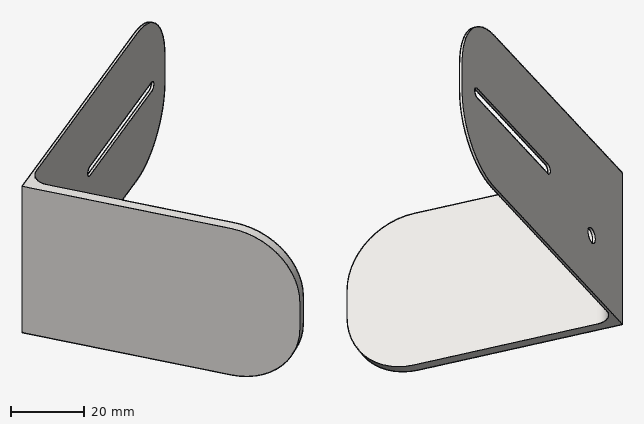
import cadquery as cq
import math

plate_thickness = 0.8
plate_length = 100.0
height = 48.75

arm_length = 80.0
arm_thickness = 3.0
arm_tilt = 3.0

corner_radius = 20.0
inner_fillet_radius = 5.0

slot_start = 45.0
slot_end = 92.0
slot_width = 3.0

hole_diameter = 4.5
hole_y = 19.25
hole_z = 18.0

tilt = math.radians(arm_tilt)
inner_root_y = arm_thickness / math.cos(tilt)


def along_arm(distance, offset):
    """Point in XY at a distance along the arm and an offset square to its outer face."""
    x = plate_thickness + distance * math.cos(tilt) - offset * math.sin(tilt)
    y = distance * math.sin(tilt) + offset * math.cos(tilt)
    return x, y


def make_plate():
    plate = cq.Workplane("XY").box(plate_thickness, plate_length, height, centered=False)
    return plate.edges("|X and >Y").fillet(corner_radius)


def make_arm():
    arm = cq.Workplane("XY").box(arm_length, arm_thickness, height, centered=False)
    arm = arm.edges("|Y and >X").fillet(corner_radius)
    arm = arm.rotate((0, 0, 0), (0, 0, 1), arm_tilt)
    return arm.translate((plate_thickness, 0, 0))


def make_corner_web():
    """Fill the wedge left between the plate and the square root end of the tilted arm."""
    outline = [
        (0, 0),
        (plate_thickness, 0),
        along_arm(arm_thickness, 0),
        along_arm(arm_thickness, arm_thickness),
        (plate_thickness, inner_root_y),
        (0, inner_root_y),
    ]
    return cq.Workplane("XY").polyline(outline).close().extrude(height)


def fillet_inside_corner(body):
    corner = (plate_thickness, inner_root_y, height / 2)
    return body.edges(cq.selectors.NearestToPointSelector(corner)).fillet(inner_fillet_radius)


def make_slot_cutter():
    slot_length = slot_end - slot_start
    slot_middle = (slot_start + slot_end) / 2
    sketch = cq.Workplane("YZ").center(slot_middle, height / 2)
    return sketch.slot2D(slot_length, slot_width).extrude(plate_thickness)


def make_hole_cutter():
    sketch = cq.Workplane("YZ").center(hole_y, hole_z)
    return sketch.circle(hole_diameter / 2).extrude(plate_thickness)


bracket = make_plate().union(make_arm()).union(make_corner_web()).clean()
bracket = fillet_inside_corner(bracket)
result = bracket.cut(make_slot_cutter()).cut(make_hole_cutter())